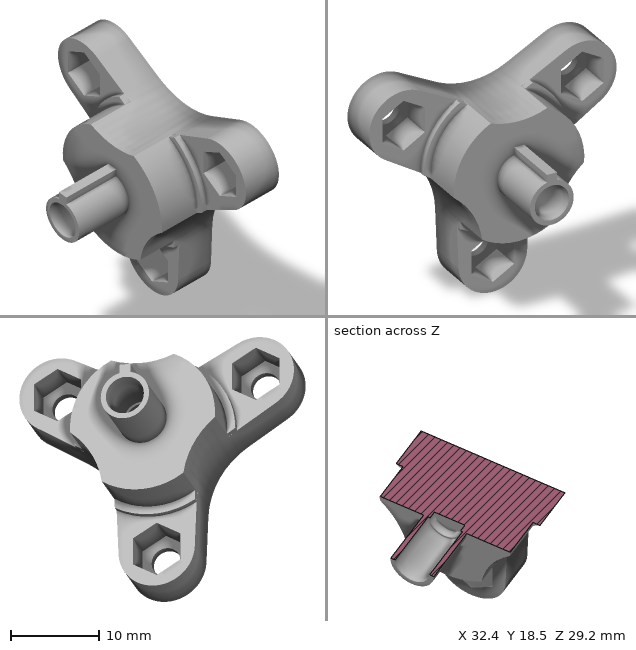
import cadquery as cq
import math

ARM_REACH = 13.5
ARM_END_RADIUS = 4.5
WAIST_RADIUS = 10.0
WAIST_DISTANCE = 7.0
ARM_THICKNESS = 5.0
ARM_ANGLES = (30, 150, 270)

STEP_RADIUS = 9.5
STEP_DEPTH = 5.75
HUB_RADIUS = 8.55
HUB_DEPTH = 10.98

HOLE_DIAMETER = 3.4
NUT_ACROSS_FLATS = 5.57
NUT_POCKET_DEPTH = 4.0

SHAFT_END = 18.5
SHAFT_RADIUS = 2.85
KEY_WIDTH = 1.3
KEY_HEIGHT = 3.8
BORE_RADIUS = 2.25
INNER_BORE_RADIUS = 1.98
INNER_BORE_DEPTH = 1.0


def polar(radius, degrees):
    angle = math.radians(degrees)
    return (radius * math.cos(angle), radius * math.sin(angle))


def toward_front(start=0.0):
    """XZ sketch plane at a given depth in front of the back face, extruding toward -Y."""
    return cq.Workplane("XZ", origin=(0, -start, 0))


def tangent_points(arm_angle, side):
    """Ends of the straight flank touching an arm end and the concave arc on one side of it."""
    end_x, end_z = polar(ARM_REACH, arm_angle)
    waist_x, waist_z = polar(WAIST_DISTANCE + WAIST_RADIUS, arm_angle + side * 60)
    dx = waist_x - end_x
    dz = waist_z - end_z
    spread = math.acos((ARM_END_RADIUS + WAIST_RADIUS) / math.hypot(dx, dz))
    normal = math.atan2(dz, dx) - side * spread
    nx = math.cos(normal)
    nz = math.sin(normal)
    on_end = (end_x + ARM_END_RADIUS * nx, end_z + ARM_END_RADIUS * nz)
    on_waist = (waist_x - WAIST_RADIUS * nx, waist_z - WAIST_RADIUS * nz)
    return on_end, on_waist


def star(depth):
    """Prism of the three-armed outline, from the back face forward."""
    _, start = tangent_points(ARM_ANGLES[0], -1)
    outline = toward_front().moveTo(*start)
    for angle in ARM_ANGLES:
        first_end, _ = tangent_points(angle, -1)
        second_end, second_waist = tangent_points(angle, 1)
        _, next_waist = tangent_points(angle + 120, -1)
        outline = (
            outline.lineTo(*first_end)
            .threePointArc(polar(ARM_REACH + ARM_END_RADIUS, angle), second_end)
            .lineTo(*second_waist)
            .threePointArc(polar(WAIST_DISTANCE, angle + 60), next_waist)
        )
    return outline.close().extrude(depth)


def hub():
    """Round hub cut back by the concave sides of the outline."""
    return toward_front().circle(HUB_RADIUS).extrude(HUB_DEPTH).intersect(star(HUB_DEPTH))


def inner_flank_end(arm_angle, side):
    """Point on the straight flank line, carried on past its tangent point into the hub."""
    (end_x, end_z), (waist_x, waist_z) = tangent_points(arm_angle, side)
    return (2 * waist_x - end_x, 2 * waist_z - end_z)


def arm_step(arm_angle):
    """Low round step at an arm root, with flat sides in line with the arm flanks."""
    corners = [
        tangent_points(arm_angle, -1)[0],
        tangent_points(arm_angle, 1)[0],
        inner_flank_end(arm_angle, 1),
        inner_flank_end(arm_angle, -1),
    ]
    wedge = toward_front().polyline(corners).close().extrude(STEP_DEPTH)
    return toward_front().circle(STEP_RADIUS).extrude(STEP_DEPTH).intersect(wedge)


def keyed_shaft():
    length = SHAFT_END - HUB_DEPTH
    shaft = toward_front(HUB_DEPTH).circle(SHAFT_RADIUS).extrude(length)
    key = (
        toward_front(HUB_DEPTH)
        .center(0, KEY_HEIGHT / 2)
        .rect(KEY_WIDTH, KEY_HEIGHT)
        .extrude(length)
    )
    return shaft.union(key)


def shaft_bore():
    """Blind bore along the shaft, with a narrower blind bore beyond it inside the hub."""
    wide = toward_front(HUB_DEPTH).circle(BORE_RADIUS).extrude(SHAFT_END - HUB_DEPTH)
    narrow = (
        toward_front(HUB_DEPTH - INNER_BORE_DEPTH)
        .circle(INNER_BORE_RADIUS)
        .extrude(INNER_BORE_DEPTH)
    )
    return wide.union(narrow)


def arm_hole(angle):
    """Through hole with a nut pocket sunk from the front of the arm, corners up and down."""
    x, z = polar(ARM_REACH, angle)
    hole = toward_front().center(x, z).circle(HOLE_DIAMETER / 2).extrude(ARM_THICKNESS)
    corner_radius = NUT_ACROSS_FLATS / math.sqrt(3)
    corners = [polar(corner_radius, 30 + 60 * i) for i in range(6)]
    pocket = (
        toward_front(ARM_THICKNESS - NUT_POCKET_DEPTH)
        .center(x, z)
        .polyline(corners)
        .close()
        .extrude(NUT_POCKET_DEPTH)
    )
    return hole.union(pocket)


result = star(ARM_THICKNESS)
for arm_angle in ARM_ANGLES:
    result = result.union(arm_step(arm_angle))
result = result.union(hub())
result = result.union(keyed_shaft())
result = result.cut(shaft_bore())
for arm_angle in ARM_ANGLES:
    result = result.cut(arm_hole(arm_angle))